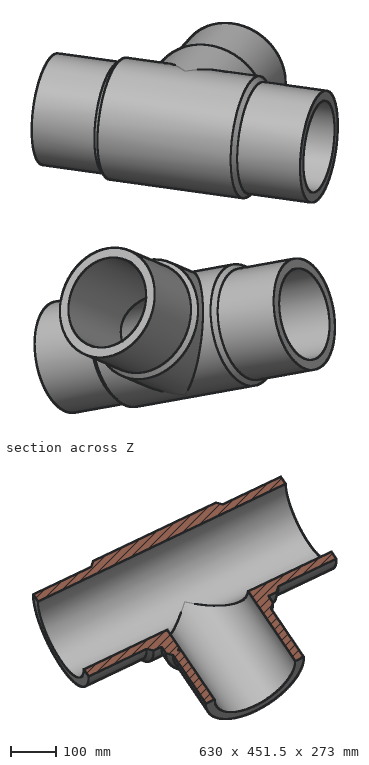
import cadquery as cq

run_length = 630.0
arm_length = run_length / 2
body_diameter = 273.0
spigot_diameter = 250.0
bore_diameter = 205.0
spigot_length = 147.5

body_reach = arm_length - spigot_length
shoulder_chamfer = (body_diameter - spigot_diameter) / 2

run_plane = cq.Plane(origin=(0, 0, 0), xDir=(0, 1, 0), normal=(1, 0, 0))
branch_plane = cq.Plane(origin=(0, 0, 0), xDir=(1, 0, 0), normal=(0, 1, 0))


def run_cylinder(diameter, reach):
    """Cylinder along X, centred on the tee."""
    return cq.Workplane(run_plane).circle(diameter / 2).extrude(reach, both=True)


def branch_cylinder(diameter, reach):
    """Cylinder from the tee centre along +Y."""
    return cq.Workplane(branch_plane).circle(diameter / 2).extrude(reach)


run_body = run_cylinder(body_diameter, body_reach).faces("<X or >X").chamfer(shoulder_chamfer)
run = run_body.union(run_cylinder(spigot_diameter, arm_length))

branch_body = branch_cylinder(body_diameter, body_reach).faces(">Y").chamfer(shoulder_chamfer)
branch = branch_body.union(branch_cylinder(spigot_diameter, arm_length))

bore = run_cylinder(bore_diameter, arm_length).union(branch_cylinder(bore_diameter, arm_length))

result = run.union(branch).cut(bore)